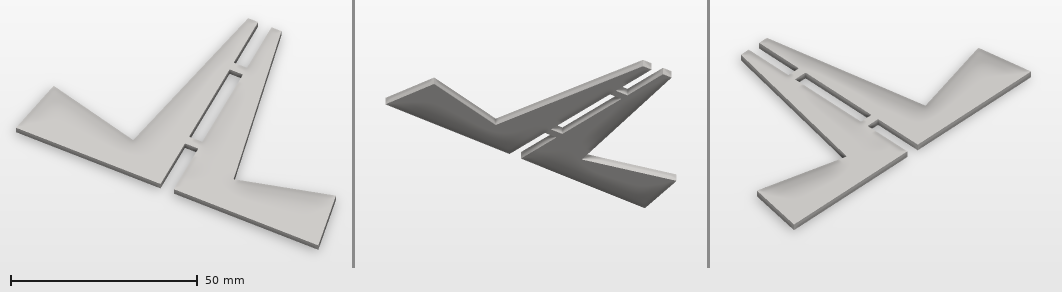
import cadquery as cq

span = 90.0
height = 60.0
thickness = 2.0

slot_width = 4.0
tip_width = 3.0
fin_root_width = 13.0
fin_root_y = 10.0
foot_end_inset = 3.0
foot_end_y = 17.0

bridge_width = 2.5
bridge_bottoms = (15.0, 42.5)

half_span = span / 2
inner_x = slot_width / 2


def half_plate(side):
    """One half of the plate; side is +1 for the right half, -1 for the left."""
    outline = [
        (inner_x, 0),
        (half_span, 0),
        (half_span - foot_end_inset, foot_end_y),
        (inner_x + fin_root_width, fin_root_y),
        (inner_x + tip_width, height),
        (inner_x, height),
    ]
    points = [(side * x, y) for x, y in outline]
    return cq.Workplane("XY").polyline(points).close().extrude(thickness)


def bridge(bottom):
    """A full-thickness bar across the slot."""
    return (
        cq.Workplane("XY")
        .box(slot_width, bridge_width, thickness, centered=(True, False, False))
        .translate((0, bottom, 0))
    )


result = half_plate(1).union(half_plate(-1))
for bridge_bottom in bridge_bottoms:
    result = result.union(bridge(bridge_bottom))